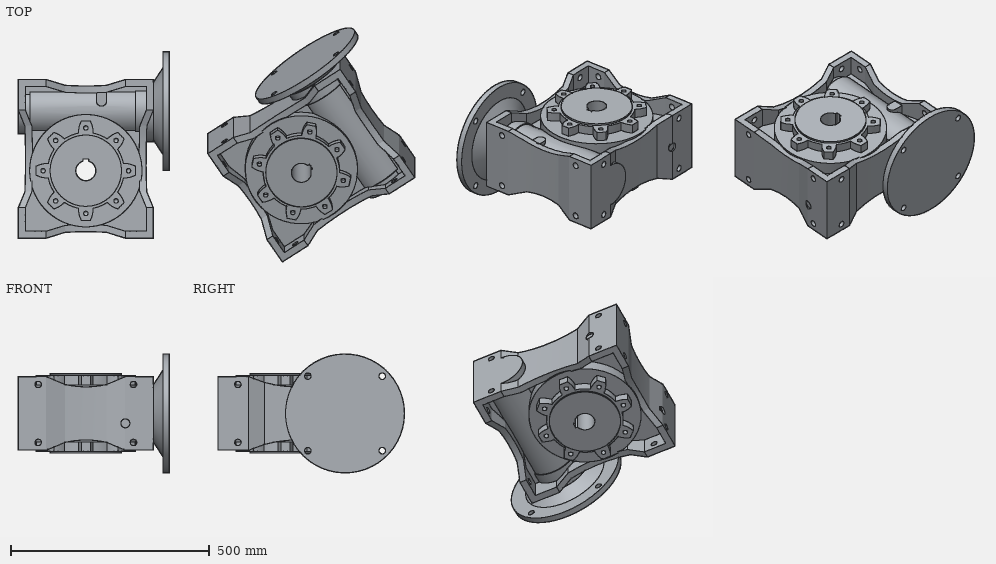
import cadquery as cq
import math


HALF_LENGTH = 170.0
REAR_Y = 230.0
FRONT_Y = -170.0
MID_Y = (REAR_Y + FRONT_Y) / 2
HALF_DEPTH = (REAR_Y - FRONT_Y) / 2
HALF_HEIGHT = 92.5
WALL = 18.0
END_BEND = 99.5
END_WAIST = 52.0
END_INSET = 14.5
SIDE_BEND = 122.5
SIDE_WAIST = 82.5
SIDE_INSET = 16.5
ARC_SAG = 1.65
DIP_Z = 66.7
SIDE_WAIST_Z = 78.0
END_WAIST_Z = 73.0

WEB_HALF = 39.0
CASE_RADIUS = 141.5
CASE_HALF = 72.0

HUB_RADIUS = 90.0
HUB_HALF = 100.0
LUG_RING_RADIUS = 96.5
LUG_HALF = 95.5
LUG_COUNT = 8
LUG_HALF_WIDTH = 18.5
LUG_TIP_HALF_WIDTH = 11.5
LUG_REACH = 125.0
LUG_CIRCLE = 107.5
LUG_HOLE_RADIUS = 5.5
DRILL_POINT_ANGLE = 118
BORE_RADIUS = 25.0
KEY_WIDTH = 14.0
KEY_TOP = 29.0

WORM_Y = 150.0
TUBE_RADIUS = 62.0
TUBE_START = -140.0
TUBE_END = 125.0
CLOSED_END_RADIUS = 57.5
COLLAR_RADIUS = 64.5
OPEN_END_RADIUS = 77.5
OPEN_END_START = HALF_LENGTH - WALL

PAD_X = 39.5
PAD_WIDTH = 26.0
PAD_TIP_Y = 162.5

MOUNT_INSET = 50.5
MOUNT_Z = 73.0
MOUNT_RADIUS = 8.0
PLUG_RADIUS = 11.5
PLUG_DEPTH = 4.5
FRONT_PLUG_Z = -25.0
SIDE_PLUG_Y = -94.5

CONE_SMALL_RADIUS = 73.0
CONE_LARGE_RADIUS = 109.5
PLATE_START = 194.0
PLATE_END = 210.0
PLATE_RADIUS = 150.0
FLANGE_HOLE_CIRCLE = 132.5
FLANGE_HOLE_RADIUS = 8.0
FLANGE_HOLE_COUNT = 4
FLANGE_FIRST_HOLE_ANGLE = 45


def x_cylinder(radius, start, end, y=WORM_Y, z=0):
    """Cylinder along X between two X positions."""
    return cq.Workplane("YZ", origin=(start, y, z)).circle(radius).extrude(end - start)


def y_cylinder(radius, start, end, x, z):
    """Cylinder along Y between two Y positions."""
    return cq.Workplane("XZ", origin=(x, start, z)).circle(radius).extrude(start - end)


def z_prism(sketch, half_height):
    """Extrude a sketch on the XY plane equally up and down."""
    return sketch.extrude(half_height, both=True)


def wall_outline(inset):
    """Waisted rectangle of the wall, moved inward by inset on every side."""
    x = HALF_LENGTH - inset
    y = HALF_DEPTH - inset
    waist_x = x - SIDE_INSET
    waist_y = y - END_INSET
    return (
        cq.Workplane("XY", origin=(0, MID_Y, 0))
        .moveTo(x, y)
        .lineTo(END_BEND, y)
        .lineTo(END_WAIST, waist_y)
        .threePointArc((0, waist_y - ARC_SAG), (-END_WAIST, waist_y))
        .lineTo(-END_BEND, y)
        .lineTo(-x, y)
        .lineTo(-x, SIDE_BEND)
        .lineTo(-waist_x, SIDE_WAIST)
        .threePointArc((ARC_SAG - waist_x, 0), (-waist_x, -SIDE_WAIST))
        .lineTo(-x, -SIDE_BEND)
        .lineTo(-x, -y)
        .lineTo(-END_BEND, -y)
        .lineTo(-END_WAIST, -waist_y)
        .threePointArc((0, ARC_SAG - waist_y), (END_WAIST, -waist_y))
        .lineTo(END_BEND, -y)
        .lineTo(x, -y)
        .lineTo(x, -SIDE_BEND)
        .lineTo(waist_x, -SIDE_WAIST)
        .threePointArc((waist_x - ARC_SAG, 0), (waist_x, SIDE_WAIST))
        .lineTo(x, SIDE_BEND)
        .close()
    )


def rim_dip(plane, bend, waist, waist_z, length):
    """Cutter for the dip in the upper rim: a slope on each side of a shallow arc."""
    return (
        plane
        .moveTo(-bend, HALF_HEIGHT)
        .lineTo(-waist, waist_z)
        .threePointArc((0, DIP_Z), (waist, waist_z))
        .lineTo(bend, HALF_HEIGHT)
        .close()
        .extrude(length, both=True)
    )


def make_wall():
    """Waisted wall with its rim dipped on all four sides, above and below."""
    wall = z_prism(wall_outline(0), HALF_HEIGHT).cut(z_prism(wall_outline(WALL), HALF_HEIGHT))
    side_plane = cq.Workplane("YZ", origin=(0, MID_Y, 0))
    end_plane = cq.Workplane("XZ", origin=(0, MID_Y, 0))
    side_dip = rim_dip(side_plane, SIDE_BEND, SIDE_WAIST, SIDE_WAIST_Z, HALF_LENGTH)
    end_dip = rim_dip(end_plane, END_BEND, END_WAIST, END_WAIST_Z, HALF_DEPTH)
    for dip in (side_dip, end_dip):
        wall = wall.cut(dip).cut(dip.mirror("XY"))
    return wall


def make_lug():
    """Radial lug along +X whose sides curve in from the lug ring to a narrower tip."""
    drop = LUG_HALF_WIDTH - LUG_TIP_HALF_WIDTH
    run = LUG_REACH - LUG_RING_RADIUS
    side_radius = (run ** 2 + drop ** 2) / (2 * drop)
    sketch = (
        cq.Workplane("XY")
        .moveTo(0, -LUG_HALF_WIDTH)
        .lineTo(LUG_RING_RADIUS, -LUG_HALF_WIDTH)
        .radiusArc((LUG_REACH, -LUG_TIP_HALF_WIDTH), -side_radius)
        .lineTo(LUG_REACH, LUG_TIP_HALF_WIDTH)
        .radiusArc((LUG_RING_RADIUS, LUG_HALF_WIDTH), -side_radius)
        .lineTo(0, LUG_HALF_WIDTH)
        .close()
    )
    return z_prism(sketch, LUG_HALF)


def make_wheel_case():
    """Round case with a hub and a ring of lugs on each side."""
    case = z_prism(cq.Workplane("XY").circle(CASE_RADIUS), CASE_HALF)
    case = case.union(z_prism(cq.Workplane("XY").circle(LUG_RING_RADIUS), LUG_HALF))
    case = case.union(z_prism(cq.Workplane("XY").circle(HUB_RADIUS), HUB_HALF))
    lug = make_lug()
    for index in range(LUG_COUNT):
        case = case.union(lug.rotate((0, 0, 0), (0, 0, 1), index * 360 / LUG_COUNT))
    return case


def make_worm_tube():
    """Stepped tube around the worm, with a closed end at -X and an open end at +X."""
    tube = x_cylinder(TUBE_RADIUS, TUBE_START, TUBE_END)
    tube = tube.union(x_cylinder(CLOSED_END_RADIUS, -HALF_LENGTH, TUBE_START))
    tube = tube.union(x_cylinder(COLLAR_RADIUS, TUBE_END, OPEN_END_START))
    return tube.union(x_cylinder(OPEN_END_RADIUS, OPEN_END_START, HALF_LENGTH))


def make_oil_pad():
    """Round-ended pad that joins the rear wall to the worm tube."""
    half_width = PAD_WIDTH / 2
    wall_y = REAR_Y - END_INSET - WALL
    round_y = PAD_TIP_Y + half_width
    sketch = (
        cq.Workplane("XY")
        .moveTo(PAD_X - half_width, wall_y)
        .lineTo(PAD_X - half_width, round_y)
        .threePointArc((PAD_X, PAD_TIP_Y), (PAD_X + half_width, round_y))
        .lineTo(PAD_X + half_width, wall_y)
        .close()
    )
    return sketch.extrude(DIP_Z)


def cut_bore(body):
    """Through bore for the output shaft with its keyway toward +Y."""
    bore = z_prism(cq.Workplane("XY").circle(BORE_RADIUS), HUB_HALF)
    keyway = z_prism(cq.Workplane("XY").center(0, KEY_TOP / 2).rect(KEY_WIDTH, KEY_TOP), HUB_HALF)
    return body.cut(bore).cut(keyway)


def make_lug_hole():
    """Blind hole in the upper +X lug, as deep as the lug is tall, with a drill point."""
    point_depth = LUG_HOLE_RADIUS / math.tan(math.radians(DRILL_POINT_ANGLE / 2))
    return (
        cq.Workplane("XZ")
        .moveTo(0, LUG_HALF)
        .lineTo(LUG_HOLE_RADIUS, LUG_HALF)
        .lineTo(LUG_HOLE_RADIUS, CASE_HALF)
        .lineTo(0, CASE_HALF - point_depth)
        .close()
        .revolve(360, (0, 0, 0), (0, 1, 0))
        .translate((LUG_CIRCLE, 0, 0))
    )


def cut_lug_holes(body):
    """Drill every lug on both sides of the housing."""
    upper_hole = make_lug_hole()
    for hole in (upper_hole, upper_hole.mirror("XY")):
        for index in range(LUG_COUNT):
            body = body.cut(hole.rotate((0, 0, 0), (0, 0, 1), index * 360 / LUG_COUNT))
    return body


def cut_mounting_holes(wall):
    """Holes through the wall near its corners; none beside the motor flange."""
    hole_x = HALF_LENGTH - MOUNT_INSET
    for z in (MOUNT_Z, -MOUNT_Z):
        for x in (hole_x, -hole_x):
            wall = wall.cut(y_cylinder(MOUNT_RADIUS, FRONT_Y, REAR_Y, x, z))
        wall = wall.cut(x_cylinder(MOUNT_RADIUS, -HALF_LENGTH, HALF_LENGTH, FRONT_Y + MOUNT_INSET, z))
        wall = wall.cut(x_cylinder(MOUNT_RADIUS, -HALF_LENGTH, 0, REAR_Y - MOUNT_INSET, z))
    return wall


def cut_plug_recesses(body):
    """Shallow round recesses on a bend of the front wall and of the -X wall."""
    front = y_cylinder(PLUG_RADIUS, FRONT_Y, FRONT_Y + PLUG_DEPTH, END_BEND, FRONT_PLUG_Z)
    side = x_cylinder(PLUG_RADIUS, -HALF_LENGTH, PLUG_DEPTH - HALF_LENGTH, SIDE_PLUG_Y)
    return body.cut(front).cut(side)


def make_housing():
    """Gearbox housing: wall, web, wheel case and worm tube in one casting."""
    housing = cut_mounting_holes(make_wall())
    housing = housing.union(z_prism(wall_outline(WALL / 2), WEB_HALF))
    housing = housing.union(make_worm_tube())
    housing = housing.union(make_wheel_case())
    housing = housing.union(make_oil_pad())
    housing = cut_bore(housing)
    housing = cut_lug_holes(housing)
    return cut_plug_recesses(housing)


def make_motor_flange():
    """Cone and round plate on the open end of the worm tube."""
    flange = (
        cq.Workplane("XY")
        .moveTo(HALF_LENGTH, 0)
        .lineTo(HALF_LENGTH, CONE_SMALL_RADIUS)
        .lineTo(PLATE_START, CONE_LARGE_RADIUS)
        .lineTo(PLATE_START, PLATE_RADIUS)
        .lineTo(PLATE_END, PLATE_RADIUS)
        .lineTo(PLATE_END, 0)
        .close()
        .revolve(360, (0, 0, 0), (1, 0, 0))
        .translate((0, WORM_Y, 0))
    )
    for index in range(FLANGE_HOLE_COUNT):
        angle = math.radians(FLANGE_FIRST_HOLE_ANGLE + index * 360 / FLANGE_HOLE_COUNT)
        hole_y = WORM_Y + FLANGE_HOLE_CIRCLE * math.cos(angle)
        hole_z = FLANGE_HOLE_CIRCLE * math.sin(angle)
        flange = flange.cut(x_cylinder(FLANGE_HOLE_RADIUS, PLATE_START, PLATE_END, hole_y, hole_z))
    return flange


housing = make_housing()
motor_flange = make_motor_flange()
result = cq.Compound.makeCompound([housing.val(), motor_flange.val()])